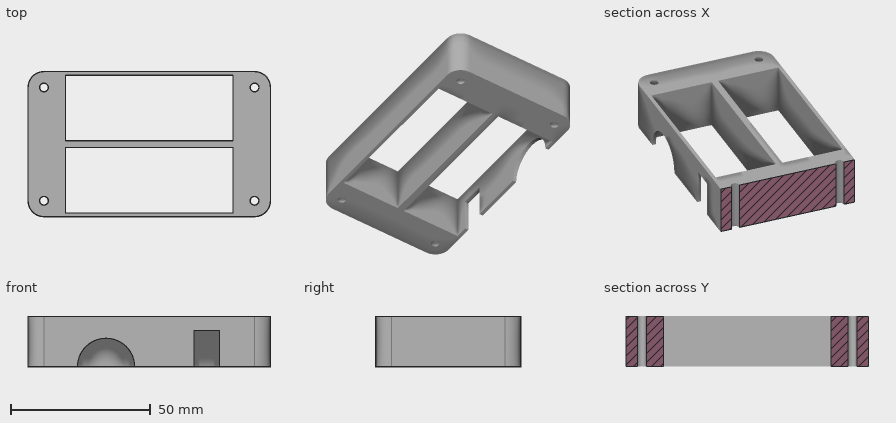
import cadquery as cq

length = 86.7
width = 51.9
height = 18.0
corner_radius = 5.7

window_length = 59.8
divider_thickness = 2.5
side_wall = 1.4
window_width = (width - divider_thickness) / 2 - side_wall
window_offset = (divider_thickness + window_width) / 2

hole_diameter = 3.0
hole_spacing_x = length - 2 * corner_radius
hole_spacing_y = width - 2 * corner_radius

arch_radius = 10.2
arch_x = -15.4
slot_width = 9.0
slot_height = 13.0
slot_x = 20.55


def make_block():
    block = cq.Workplane("XY").box(length, width, height, centered=(True, True, False))
    return block.edges("|Z").fillet(corner_radius)


def make_windows():
    return (
        cq.Workplane("XY")
        .pushPoints([(0, -window_offset), (0, window_offset)])
        .rect(window_length, window_width)
        .extrude(height)
    )


def make_screw_holes():
    return (
        cq.Workplane("XY")
        .rect(hole_spacing_x, hole_spacing_y, forConstruction=True)
        .vertices()
        .circle(hole_diameter / 2)
        .extrude(height)
    )


def make_front_openings():
    front_face = cq.Workplane("XZ", origin=(0, -width / 2, 0))
    arch = front_face.center(arch_x, 0).circle(arch_radius).extrude(-side_wall)
    slot = front_face.center(slot_x, 0).rect(slot_width, 2 * slot_height).extrude(-side_wall)
    return arch.union(slot)


result = make_block().cut(make_windows()).cut(make_screw_holes()).cut(make_front_openings())